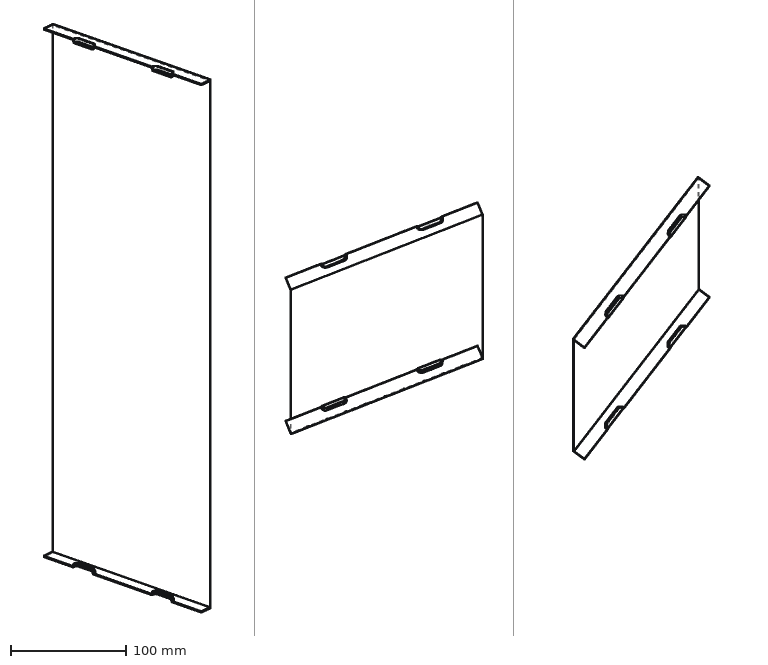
import cadquery as cq
import math

width = 180.0
depth = 12.5
height = 504.5
sheet = 1.0

fold_outer_radius = 0.1

tab_spacing = 90.0
tab_offset = 2.75
tab_mouth_length = 23.0
tab_mouth_depth = 4.25
tab_corner_radius = 3.5
tab_slope = 1.5

front_y = -depth / 2
back_y = depth / 2
top_z = height / 2

wall_taper = math.atan2(tab_slope, tab_offset)
underside_growth = sheet * (1 - math.sin(wall_taper)) / math.cos(wall_taper)


def make_block(y_min, y_max, z_min, z_max):
    """Full-width box, centred on X, spanning the given Y and Z ranges."""
    block = cq.Workplane("XY").box(width, y_max - y_min, z_max - z_min, centered=(True, False, False))
    return block.translate((0, y_min, z_min))


def make_upper_half():
    """Upper half of the back panel with its flange folded forward."""
    envelope = make_block(front_y, back_y, 0, top_z).edges("|X and >Y and >Z").fillet(fold_outer_radius)
    hollow = make_block(front_y, back_y - sheet, 0, top_z - sheet)
    return envelope.cut(hollow)


def make_tab_form(x_center, z_start, growth):
    """Round-cornered form, open at the front edge, tapering downward by the tab offset.

    growth moves the whole wall outward from the recess outline.
    """
    outline = (
        cq.Sketch()
        .rect(tab_mouth_length + 2 * growth, 2 * (tab_mouth_depth + growth))
        .vertices()
        .fillet(tab_corner_radius + growth)
    )
    form = (
        cq.Workplane("XY", origin=(x_center, front_y, z_start))
        .placeSketch(outline)
        .extrude(-tab_offset, taper=math.degrees(wall_taper))
    )
    return form.intersect(make_block(front_y, back_y, 0, top_z))


def add_tab(half, x_center):
    """Press one tab of sheet thickness down out of the upper flange."""
    lowered = make_tab_form(x_center, top_z - sheet, underside_growth)
    recess = make_tab_form(x_center, top_z, 0)
    return half.union(lowered).cut(recess)


upper_half = make_upper_half()
for tab_x in (-tab_spacing / 2, tab_spacing / 2):
    upper_half = add_tab(upper_half, tab_x)

result = upper_half.union(upper_half.mirror("XY"))